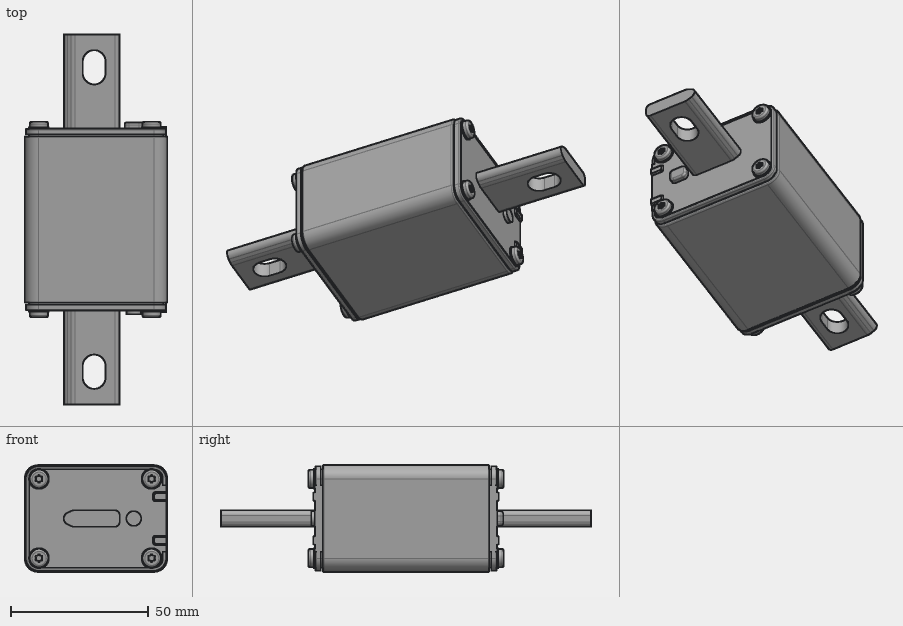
import cadquery as cq
import math

total_length = 135.0
body_width = 52.0
body_height = 39.0
body_length = 60.6
body_corner_radius = 5.0
body_edge_radius = 0.4

half_body = body_length / 2
cap_inset = 0.4
gasket_inset = 1.5
cap_inner_y = 31.0
cap_outer_y = 33.2
cap_edge_radius = 0.4
cap_side_x = body_width / 2 - cap_inset
panel_inset = 1.6
panel_height = 0.1

pad_depth = 3.4
pad_height = 24.3

blade_tip_x = -11.7
blade_back_x = 8.6
blade_thickness = 6.1
blade_back_radius = 1.9
bevel_angle = math.radians(26)
bevel_tip_radius = 2.3
bevel_shoulder_radius = 3.4

slot_width = 8.2
slot_length = 12.4
slot_x = -0.7
slot_y = 55.5

screw_centre_x = -0.3
screw_half_spacing_x = 20.5
screw_half_spacing_z = 14.5
screw_radius = 3.4
screw_height = 2.4
washer_radius = 3.6
washer_height = 0.4
screw_edge_radius = 0.8
socket_depth = 1.2
socket_core_radius = 1.1
lobe_count = 6
lobe_radius = 0.34

tab_length = 4.9
tab_width = 3.5
tab_height = 0.7
tab_corner_radius = 1.1
tab_edge = 0.5
tab_z = 8.0

button_x = 13.8
button_radius = 2.7
button_height = 1.4
indicator_width = 6.8
indicator_height = 5.4
indicator_depth = 2.2
indicator_corner_radius = 1.6
indicator_edge_radius = 0.8

front_cap_plane = cq.Plane(origin=(0, -cap_outer_y, 0), xDir=(1, 0, 0), normal=(0, -1, 0))


def rounded_block(inset, length):
    """Block along Y, centred on the origin, set in from the body outline."""
    block = cq.Workplane("XY").box(body_width - 2 * inset, length, body_height - 2 * inset)
    return block.edges("|Y").fillet(body_corner_radius - inset)


def make_body():
    return rounded_block(0, body_length).faces("<Y or >Y").edges().fillet(body_edge_radius)


def make_blade():
    """Knife profile in XZ, bevelled towards -X, run along the full length."""
    half_thickness = blade_thickness / 2
    sine = math.sin(bevel_angle)
    cosine = math.cos(bevel_angle)

    tip_centre_x = blade_tip_x + bevel_tip_radius
    tip_half_angle = (math.pi / 2 - bevel_angle) / 2
    tip_mid = (
        tip_centre_x - bevel_tip_radius * math.cos(tip_half_angle),
        bevel_tip_radius * math.sin(tip_half_angle),
    )
    bevel_low_x = tip_centre_x - bevel_tip_radius * sine
    bevel_low_z = bevel_tip_radius * cosine

    bevel_high_z = half_thickness - bevel_shoulder_radius * (1 - cosine)
    bevel_high_x = bevel_low_x + (bevel_high_z - bevel_low_z) * cosine / sine
    shoulder_x = bevel_high_x + bevel_shoulder_radius * sine
    shoulder_mid = (
        shoulder_x - bevel_shoulder_radius * math.sin(bevel_angle / 2),
        half_thickness - bevel_shoulder_radius * (1 - math.cos(bevel_angle / 2)),
    )

    profile = (
        cq.Workplane("XZ")
        .moveTo(blade_tip_x, 0)
        .threePointArc(tip_mid, (bevel_low_x, bevel_low_z))
        .lineTo(bevel_high_x, bevel_high_z)
        .threePointArc(shoulder_mid, (shoulder_x, half_thickness))
        .lineTo(blade_back_x - blade_back_radius, half_thickness)
        .radiusArc((blade_back_x, half_thickness - blade_back_radius), blade_back_radius)
        .lineTo(blade_back_x, 0)
        .mirrorX()
    )
    blade = profile.extrude(total_length / 2, both=True)
    slots = (
        cq.Workplane("XY")
        .pushPoints([(slot_x, -slot_y), (slot_x, slot_y)])
        .slot2D(slot_length, slot_width, 90)
        .extrude(blade_thickness, both=True)
    )
    return blade.cut(slots)


def make_cap():
    """Front cap plate with its raised panel, side pad, gripping tabs and screws."""
    thickness = cap_outer_y - cap_inner_y
    plate_thickness = thickness - panel_height
    plate = rounded_block(cap_inset, plate_thickness).faces("<Y").edges().fillet(cap_edge_radius)
    plate = plate.translate((0, -cap_inner_y - plate_thickness / 2, 0))
    panel = rounded_block(panel_inset, thickness).translate((0, -cap_inner_y - thickness / 2, 0))
    cap = plate.union(panel)

    pad_length = cap_outer_y - half_body
    pad = cq.Workplane("XY").box(pad_depth, pad_length, pad_height)
    cap = cap.union(pad.translate((cap_side_x - pad_depth / 2, -(cap_outer_y + half_body) / 2, 0)))

    for side in (-1, 1):
        tab = (
            cq.Workplane(front_cap_plane)
            .center(cap_side_x - tab_length / 2, side * tab_z)
            .rect(tab_length, tab_width)
            .extrude(tab_height)
            .edges("|Y and <X").fillet(tab_corner_radius)
            .faces("<Y").edges("not >X").chamfer(tab_edge)
        )
        cap = cap.union(tab)

    for x_side in (-1, 1):
        for z_side in (-1, 1):
            screw = make_screw(screw_centre_x + x_side * screw_half_spacing_x, z_side * screw_half_spacing_z)
            cap = cap.union(screw)
    return cap


def make_screw(x, z):
    """Round screw head on a thin washer, with a six-lobed socket."""
    washer = cq.Workplane(front_cap_plane).center(x, z).circle(washer_radius).extrude(washer_height)
    head = (
        cq.Workplane(front_cap_plane)
        .center(x, z)
        .circle(screw_radius)
        .extrude(screw_height)
        .faces("<Y").edges().fillet(screw_edge_radius)
    )
    socket_floor = front_cap_plane.origin.y - screw_height + socket_depth
    socket_plane = cq.Plane(origin=(x, socket_floor, z), xDir=(1, 0, 0), normal=(0, -1, 0))
    core = cq.Workplane(socket_plane).circle(socket_core_radius).extrude(socket_depth)
    lobes = (
        cq.Workplane(socket_plane)
        .polarArray(socket_core_radius, 90, 360, lobe_count)
        .circle(lobe_radius)
        .extrude(socket_depth)
    )
    return head.cut(core).cut(lobes).union(washer)


def make_button():
    return (
        cq.Workplane(front_cap_plane)
        .center(button_x, 0)
        .circle(button_radius)
        .extrude(button_height)
    )


def make_indicator():
    housing = (
        cq.Workplane("XY")
        .box(indicator_width, indicator_depth, indicator_height)
        .edges("|Y").fillet(indicator_corner_radius)
        .faces(">Y").edges().fillet(indicator_edge_radius)
    )
    return housing.translate((button_x, cap_outer_y + indicator_depth / 2, 0))


front_cap = make_cap()
result = (
    make_body()
    .union(rounded_block(gasket_inset, 2 * cap_inner_y))
    .union(front_cap)
    .union(front_cap.mirror("XZ"))
    .union(make_blade())
    .union(make_button())
    .union(make_indicator())
)